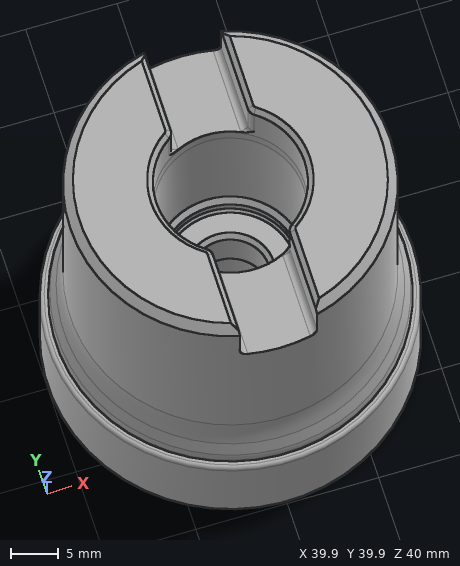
import cadquery as cq
import math

TOTAL_HEIGHT = 40.0
BASE_RADIUS = 39.9 / 2
BASE_HEIGHT = 10.6
BASE_TOP_ROUND = 0.5
BASE_BOTTOM_CHAMFER = 0.4

BARREL_RADIUS = 35.0 / 2
FOOT_RADIUS = 38.1 / 2
TOP_CHAMFER = 1.05
FLARE_START_Z = 16.4
FLARE_ROUND = 7.6
CONE_ANGLE = math.radians(25)
FOOT_ROUND = 2.0

SLOT_WIDTH = 8.45
SLOT_DEPTH = 5.7
SLOT_FLOOR_ROUND = 0.8
SLOT_CORNER_ROUND = 1.0
SLOT_EDGE_CHAMFER = 0.6
SLOT_FLOOR_Z = TOTAL_HEIGHT - SLOT_DEPTH

UPPER_BORE_RADIUS = 16.2 / 2
MAIN_BORE_RADIUS = 16.0 / 2
LEAD_IN_TOP_Z = 34.0
LEAD_IN_HEIGHT = 1.15
LOWER_BORE_RADIUS = 14.7 / 2
BORE_FLOOR_RADIUS = 14.1 / 2
SHOULDER_Z = 18.0
BORE_FLOOR_Z = 16.0
HOLE_RADIUS = 8.4 / 2
HOLE_CHAMFER = 0.55


def make_base():
    """Plain disc with rounded top edge, chamfered bottom edge and a through hole."""
    disc = cq.Workplane("XY").circle(BASE_RADIUS).extrude(BASE_HEIGHT)
    disc = disc.faces(">Z").edges().fillet(BASE_TOP_ROUND)
    disc = disc.faces("<Z").edges().chamfer(BASE_BOTTOM_CHAMFER)
    return disc.cut(cq.Workplane("XY").circle(HOLE_RADIUS).extrude(BASE_HEIGHT))


def arc_offset(radius, angle):
    """Radial and axial travel of an arc that leaves the vertical and turns by an angle."""
    return radius * (1 - math.cos(angle)), radius * math.sin(angle)


def make_sleeve_blank():
    """Revolved outside of the sleeve, with the cone tangent to the arcs above and below it."""
    flare_dr, flare_dz = arc_offset(FLARE_ROUND, CONE_ANGLE)
    flare_mid_dr, flare_mid_dz = arc_offset(FLARE_ROUND, CONE_ANGLE / 2)
    foot_dr, foot_dz = arc_offset(FOOT_ROUND, CONE_ANGLE)
    foot_mid_dr, foot_mid_dz = arc_offset(FOOT_ROUND, CONE_ANGLE / 2)

    cone_top_r = BARREL_RADIUS + flare_dr
    cone_top_z = FLARE_START_Z - flare_dz
    cone_bottom_r = FOOT_RADIUS - foot_dr
    cone_bottom_z = cone_top_z - (cone_bottom_r - cone_top_r) / math.tan(CONE_ANGLE)
    foot_z = cone_bottom_z - foot_dz

    profile = (
        cq.Workplane("XZ")
        .moveTo(0, BASE_HEIGHT)
        .lineTo(FOOT_RADIUS, BASE_HEIGHT)
        .lineTo(FOOT_RADIUS, foot_z)
        .threePointArc((FOOT_RADIUS - foot_mid_dr, foot_z + foot_mid_dz), (cone_bottom_r, cone_bottom_z))
        .lineTo(cone_top_r, cone_top_z)
        .threePointArc(
            (BARREL_RADIUS + flare_mid_dr, FLARE_START_Z - flare_mid_dz),
            (BARREL_RADIUS, FLARE_START_Z),
        )
        .lineTo(BARREL_RADIUS, TOTAL_HEIGHT - TOP_CHAMFER)
        .lineTo(BARREL_RADIUS - TOP_CHAMFER, TOTAL_HEIGHT)
        .lineTo(0, TOTAL_HEIGHT)
        .close()
    )
    return profile.revolve(360, (0, 0, 0), (0, 1, 0))


def make_slot_plan(height):
    """Slot joined with the bore circle, with rounded corners where they meet."""
    slot_length = 3 * BARREL_RADIUS
    slot = cq.Workplane("XY").rect(SLOT_WIDTH, slot_length).extrude(height)
    bore = cq.Workplane("XY").circle(UPPER_BORE_RADIUS).extrude(height)
    corner_reach = cq.selectors.BoxSelector(
        (-SLOT_WIDTH, -UPPER_BORE_RADIUS, 0), (SLOT_WIDTH, UPPER_BORE_RADIUS, height)
    )
    corners = cq.selectors.AndSelector(cq.selectors.ParallelDirSelector(cq.Vector(0, 0, 1)), corner_reach)
    off_axis = cq.selectors.SubtractSelector(
        corners,
        cq.selectors.BoxSelector((-BASE_RADIUS, -0.4, 0), (BASE_RADIUS, 0.4, height)),
    )
    return slot.union(bore).edges(off_axis).fillet(SLOT_CORNER_ROUND)


def make_slot_cutter():
    """Slot void with a rounded floor and a flared rim at the top of the sleeve."""
    plan = make_slot_plan(SLOT_DEPTH)
    void = plan.faces("<Z").edges("not(<Y or >Y)").fillet(SLOT_FLOOR_ROUND)
    rim = (
        plan.faces(">Z")
        .wires()
        .toPending()
        .workplane()
        .extrude(SLOT_EDGE_CHAMFER, taper=-45, combine=False)
        .translate((0, 0, -SLOT_EDGE_CHAMFER))
    )
    return void.union(rim).translate((0, 0, SLOT_FLOOR_Z))


def make_bore_cutter():
    """Revolved bore: upper bore, lead-in taper, main bore, shoulder, lower bore, floor and hole."""
    lower_bore_z = SHOULDER_Z - (MAIN_BORE_RADIUS - LOWER_BORE_RADIUS)
    floor_bevel = LOWER_BORE_RADIUS - BORE_FLOOR_RADIUS
    profile = cq.Workplane("XZ").polyline([
        (0, BASE_HEIGHT),
        (HOLE_RADIUS, BASE_HEIGHT),
        (HOLE_RADIUS, BORE_FLOOR_Z - HOLE_CHAMFER),
        (HOLE_RADIUS + HOLE_CHAMFER, BORE_FLOOR_Z),
        (BORE_FLOOR_RADIUS, BORE_FLOOR_Z),
        (LOWER_BORE_RADIUS, BORE_FLOOR_Z + floor_bevel),
        (LOWER_BORE_RADIUS, lower_bore_z),
        (MAIN_BORE_RADIUS, SHOULDER_Z),
        (MAIN_BORE_RADIUS, LEAD_IN_TOP_Z - LEAD_IN_HEIGHT),
        (UPPER_BORE_RADIUS, LEAD_IN_TOP_Z),
        (UPPER_BORE_RADIUS, TOTAL_HEIGHT),
        (0, TOTAL_HEIGHT),
    ]).close()
    return profile.revolve(360, (0, 0, 0), (0, 1, 0))


def make_sleeve():
    """Flared sleeve standing on the base, bored from the top and slotted across it."""
    return make_sleeve_blank().cut(make_bore_cutter().union(make_slot_cutter()))


base = make_base()
sleeve = make_sleeve()
result = cq.Compound.makeCompound([base.val(), *sleeve.vals()])